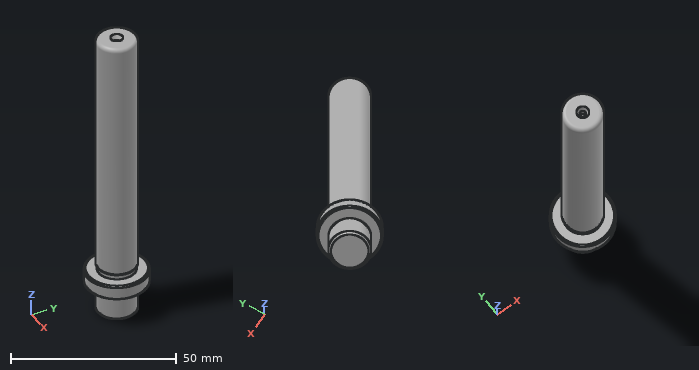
import cadquery as cq
import math

length = 100.0
shaft_radius = 6.5
top_round = 1.5

collar_radius = 10.0
collar_bottom = 10.0
collar_thickness = 5.0
collar_chamfer = 0.5
collar_top = collar_bottom + collar_thickness

lower_neck_radius = 6.0
lower_neck_height = 1.0
lower_neck_fillet = shaft_radius - lower_neck_radius
upper_neck_radius = 6.1
upper_neck_height = 2.1
upper_neck_chamfer_height = 0.6

end_chamfer = 0.8

countersink_radius = 1.9
pilot_radius = 1.0
countersink_angle = 60.0
pilot_depth = 2.5
drill_tip_angle = 120.0


def cone_height(large_radius, small_radius, included_angle):
    """Height of a cone frustum with the given included angle in degrees."""
    return (large_radius - small_radius) / math.tan(math.radians(included_angle / 2))


def make_pin():
    """Revolve the stepped half profile around Z."""
    lower_shoulder = collar_bottom - lower_neck_height
    upper_shoulder = collar_top + upper_neck_height
    fillet_offset = lower_neck_fillet * math.sqrt(0.5)
    arc_offset = top_round * math.sqrt(0.5)
    round_center_radius = shaft_radius - top_round
    round_center_height = length - top_round
    return (
        cq.Workplane("XZ")
        .moveTo(0, 0)
        .lineTo(shaft_radius - end_chamfer, 0)
        .lineTo(shaft_radius, end_chamfer)
        .lineTo(shaft_radius, lower_shoulder)
        .threePointArc(
            (shaft_radius - fillet_offset, lower_shoulder + lower_neck_fillet - fillet_offset),
            (lower_neck_radius, lower_shoulder + lower_neck_fillet),
        )
        .lineTo(lower_neck_radius, collar_bottom)
        .lineTo(collar_radius - collar_chamfer, collar_bottom)
        .lineTo(collar_radius, collar_bottom + collar_chamfer)
        .lineTo(collar_radius, collar_top - collar_chamfer)
        .lineTo(collar_radius - collar_chamfer, collar_top)
        .lineTo(upper_neck_radius, collar_top)
        .lineTo(upper_neck_radius, upper_shoulder - upper_neck_chamfer_height)
        .lineTo(shaft_radius, upper_shoulder)
        .lineTo(shaft_radius, round_center_height)
        .threePointArc(
            (round_center_radius + arc_offset, round_center_height + arc_offset),
            (round_center_radius, length),
        )
        .lineTo(0, length)
        .close()
        .revolve(360, (0, 0), (0, 1))
    )


def make_center_hole():
    """Countersunk pilot hole with a conical drill tip."""
    countersink_bottom = length - cone_height(countersink_radius, pilot_radius, countersink_angle)
    pilot_bottom = countersink_bottom - pilot_depth
    tip = pilot_bottom - cone_height(pilot_radius, 0, drill_tip_angle)
    return (
        cq.Workplane("XZ")
        .moveTo(0, length)
        .lineTo(countersink_radius, length)
        .lineTo(pilot_radius, countersink_bottom)
        .lineTo(pilot_radius, pilot_bottom)
        .lineTo(0, tip)
        .close()
        .revolve(360, (0, 0), (0, 1))
    )


result = make_pin().cut(make_center_hole())